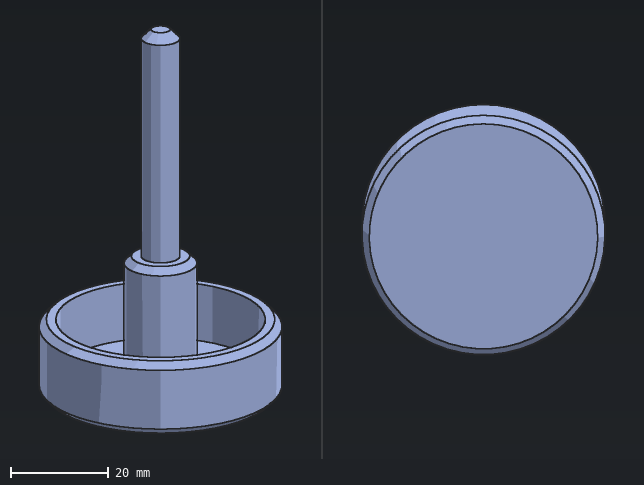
import cadquery as cq

cup_diameter = 50.0
cup_height = 16.0
cavity_diameter = 43.0
floor_thickness = 3.5

hub_diameter = 15.0
hub_top = 30.0

pin_diameter = 8.0
total_height = 80.0

edge_chamfer = 1.5
tip_chamfer = pin_diameter / 4


def cylinder(diameter, bottom, top):
    """Vertical cylinder on the Z axis between two heights."""
    return cq.Workplane("XY", origin=(0, 0, bottom)).circle(diameter / 2).extrude(top - bottom)


cup = cylinder(cup_diameter, 0, cup_height).edges().chamfer(edge_chamfer)
cup = cup.cut(cylinder(cavity_diameter, floor_thickness, cup_height))

hub = cylinder(hub_diameter, floor_thickness, hub_top).faces(">Z").edges().chamfer(edge_chamfer)
pin = cylinder(pin_diameter, hub_top, total_height).faces(">Z").edges().chamfer(tip_chamfer)

result = cup.union(hub).union(pin)